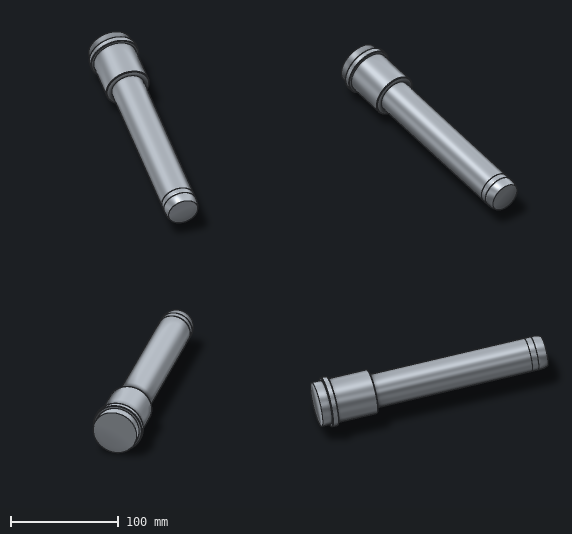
import cadquery as cq
import math

TOTAL_LENGTH = 220.0

HEAD_RADIUS = 42.0 / 2
HEAD_LENGTH = 53.7
HEAD_END_CHAMFER = 0.7

COLLAR_RADIUS = 47.0 / 2
COLLAR_START = 9.0
COLLAR_LENGTH = 6.0
COLLAR_END = COLLAR_START + COLLAR_LENGTH
COLLAR_CHAMFER = 0.55

SHAFT_RADIUS = 32.0 / 2
NOSE_LENGTH = 7.3
NOSE_TIP_RADIUS = 14.3

GROOVE_SLOPE = math.radians(11)
COLLAR_FRONT_GROOVE_WIDTH = 0.9
COLLAR_REAR_GROOVE_WIDTH = 1.3
SHAFT_GROOVE_WIDTH = 1.0
PILOT_START = 204.4
PILOT_END = 210.5


def revolve_about_x(profile):
    """Turn a closed profile once around the X axis."""
    return profile.revolve(360, (0, 0, 0), (1, 0, 0))


def turned_body():
    """Pin with head, collar, shaft and nose, before the grooves are cut."""
    nose_start = TOTAL_LENGTH - NOSE_LENGTH

    profile = (
        cq.Workplane("XY")
        .lineTo(0, HEAD_RADIUS)
        .lineTo(COLLAR_START, HEAD_RADIUS)
        .lineTo(COLLAR_START, COLLAR_RADIUS - COLLAR_CHAMFER)
        .lineTo(COLLAR_START + COLLAR_CHAMFER, COLLAR_RADIUS)
        .lineTo(COLLAR_END - COLLAR_CHAMFER, COLLAR_RADIUS)
        .lineTo(COLLAR_END, COLLAR_RADIUS - COLLAR_CHAMFER)
        .lineTo(COLLAR_END, HEAD_RADIUS)
        .lineTo(HEAD_LENGTH - HEAD_END_CHAMFER, HEAD_RADIUS)
        .lineTo(HEAD_LENGTH, HEAD_RADIUS - HEAD_END_CHAMFER)
        .lineTo(HEAD_LENGTH, SHAFT_RADIUS)
        .lineTo(nose_start, SHAFT_RADIUS)
        .tangentArcPoint((TOTAL_LENGTH, NOSE_TIP_RADIUS), relative=False)
        .lineTo(TOTAL_LENGTH, 0)
        .close()
    )
    return revolve_about_x(profile)


def relief_groove(steep_wall_x, width, radius):
    """Cutter ring, deepest at the steep wall; a negative width runs toward -X."""
    depth = abs(width) * math.tan(GROOVE_SLOPE)
    profile = (
        cq.Workplane("XY")
        .moveTo(steep_wall_x, radius)
        .lineTo(steep_wall_x, radius - depth)
        .lineTo(steep_wall_x + width, radius)
        .close()
    )
    return revolve_about_x(profile)


GROOVES = [
    (COLLAR_START, -COLLAR_FRONT_GROOVE_WIDTH, HEAD_RADIUS),
    (COLLAR_END, COLLAR_REAR_GROOVE_WIDTH, HEAD_RADIUS),
    (HEAD_LENGTH, SHAFT_GROOVE_WIDTH, SHAFT_RADIUS),
    (PILOT_START, SHAFT_GROOVE_WIDTH, SHAFT_RADIUS),
    (PILOT_END, -SHAFT_GROOVE_WIDTH, SHAFT_RADIUS),
]

result = turned_body()
for steep_wall_x, width, radius in GROOVES:
    result = result.cut(relief_groove(steep_wall_x, width, radius))